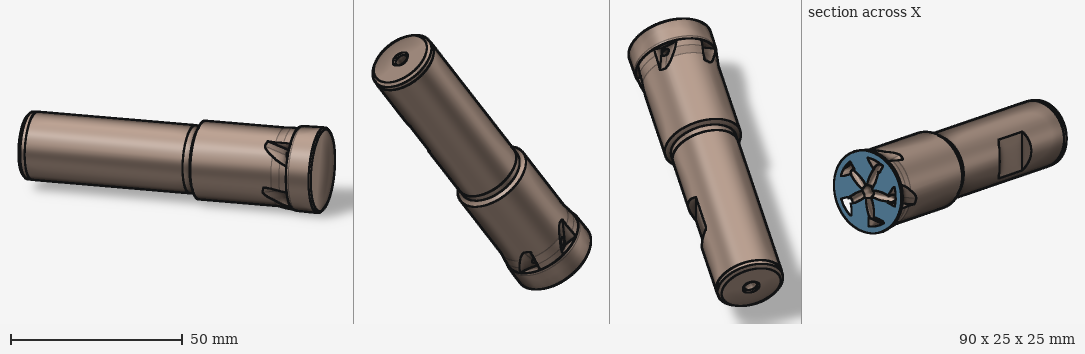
import cadquery as cq
import math


total_length = 90.0
shank_radius = 10.0
relief_radius = 9.9
shank_face_radius = 8.9
shank_chamfer = 0.9
shank_start = 2.25
shank_end = 50.3

body_radius = 11.5
shoulder_start = 52.4
shoulder_end = 53.2
flare_start = 77.7
flare_mid = 80.3
flare_mid_radius = 12.0
flare_end_radius = 12.15

head_start = 82.4
head_back_radius = 12.2
head_back_chamfer = 0.8
head_rim_radius = 12.4
head_radius = 12.5
head_front_chamfer = 0.5

flat_center = 25.6
flat_length = 11.3
flat_height = 8.1

bore_radius = 2.0
bore_countersink_radius = 2.5
bore_end = 84.6
drill_point_angle = 118.0

pocket_count = 5
pocket_wall_angle = 51.5
pocket_run = 12.6
pocket_slope = 25.5
pocket_skew = 5.0
pocket_floor = 7.8
pocket_ledge_height = 8.1
pocket_ledge_width = 1.9
pocket_floor_radius = 8.2
pocket_floor_start_tilt = 5.0
pocket_floor_sweep = 60.0
pocket_undercut = 2.7
pocket_top = 19.8

outlet_radius = 1.2
outlet_exit = 81.6
outlet_angle = 42.0
outlet_reach = 10.35


def make_body():
    """Revolve the stepped outline around the X axis."""
    head_arc_start = head_start + head_back_chamfer
    head_arc_end = total_length - head_front_chamfer
    head_arc_middle = (
        (head_arc_start + head_arc_end) / 2,
        head_radius - (head_radius - head_rim_radius) / 4,
    )
    return (
        cq.Workplane("XY")
        .moveTo(0, 0)
        .lineTo(0, shank_face_radius)
        .lineTo(shank_chamfer, relief_radius)
        .lineTo(shank_start, relief_radius)
        .lineTo(shank_start, shank_radius)
        .lineTo(shank_end, shank_radius)
        .lineTo(shank_end, relief_radius)
        .lineTo(shoulder_start, relief_radius)
        .lineTo(shoulder_end, body_radius)
        .lineTo(flare_start, body_radius)
        .lineTo(flare_mid, flare_mid_radius)
        .lineTo(head_start, flare_end_radius)
        .lineTo(head_start, head_back_radius)
        .lineTo(head_arc_start, head_rim_radius)
        .threePointArc(head_arc_middle, (head_arc_end, head_radius))
        .lineTo(total_length, head_radius - head_front_chamfer)
        .lineTo(total_length, 0)
        .close()
        .revolve(360, (0, 0, 0), (1, 0, 0))
    )


def make_clamping_flat():
    """Notch with 45 degree ends, cut straight across the shank."""
    depth = body_radius - flat_height
    half = flat_length / 2
    return (
        cq.Workplane("XY")
        .moveTo(flat_center - half, flat_height)
        .lineTo(flat_center + half, flat_height)
        .lineTo(flat_center + half + depth, body_radius)
        .lineTo(flat_center - half - depth, body_radius)
        .close()
        .extrude(body_radius, both=True)
    )


def make_bore():
    """Countersunk bore along the axis with a drilled conical bottom."""
    countersink_depth = bore_countersink_radius - bore_radius
    point_length = bore_radius / math.tan(math.radians(drill_point_angle / 2))
    return (
        cq.Workplane("XY")
        .moveTo(0, 0)
        .lineTo(0, bore_countersink_radius)
        .lineTo(countersink_depth, bore_radius)
        .lineTo(bore_end, bore_radius)
        .lineTo(bore_end + point_length, 0)
        .close()
        .revolve(360, (0, 0, 0), (1, 0, 0))
    )


def arc_point(center, radius, degrees):
    angle = math.radians(degrees)
    return (center[0] + radius * math.cos(angle), center[1] + radius * math.sin(angle))


def turn_from_minus_y(shape, angle):
    """Turn a shape built on +Z to the given angle, measured from -Y toward +Z."""
    return shape.rotate((0, 0, 0), (1, 0, 0), 90 - angle)


def make_pocket(wall_angle):
    """Wall, narrow ledge and hollow floor, cut obliquely backward from the head.

    The end wall slopes under the head rim.
    Built with the wall in the XZ plane and the pocket on the -Y side of it.
    """
    floor_start = 270 + pocket_floor_start_tilt
    ledge_end = (pocket_ledge_width, pocket_floor)
    floor_center = arc_point(ledge_end, pocket_floor_radius, floor_start - 180)
    floor_middle = arc_point(floor_center, pocket_floor_radius, floor_start + pocket_floor_sweep / 2)
    floor_end = arc_point(floor_center, pocket_floor_radius, floor_start + pocket_floor_sweep)
    section_plane = cq.Plane(origin=(head_start, 0, 0), xDir=(0, -1, 0), normal=(-1, 0, 0))
    section = (
        cq.Workplane(section_plane)
        .moveTo(0, pocket_top)
        .lineTo(0, pocket_ledge_height)
        .lineTo(*ledge_end)
        .threePointArc(floor_middle, floor_end)
        .lineTo(floor_end[0], pocket_top)
        .close()
    )
    direction = cq.Vector(
        -1,
        math.tan(math.radians(pocket_skew)),
        math.tan(math.radians(pocket_slope)),
    )
    front_section = section.wires().val().translate(direction * -pocket_undercut)
    cutter = cq.Solid.extrudeLinear(front_section, [], direction * pocket_run)
    pocket_sink = pocket_undercut * math.tan(math.radians(pocket_slope))
    end_limit = (
        cq.Workplane("XY")
        .moveTo(0, 0)
        .lineTo(0, pocket_top)
        .lineTo(head_start, pocket_top)
        .lineTo(head_start, flare_end_radius)
        .lineTo(head_start + pocket_undercut, pocket_floor - pocket_sink)
        .lineTo(head_start + pocket_undercut, 0)
        .close()
        .revolve(360, (0, 0, 0), (1, 0, 0))
    )
    return turn_from_minus_y(end_limit.intersect(cq.Workplane(cutter)), wall_angle)


def make_outlet(angle):
    """Drilled passage from the bore bottom out to a pocket floor."""
    start = cq.Vector(bore_end, 0, 0)
    end = cq.Vector(outlet_exit, 0, outlet_reach)
    passage = cq.Solid.makeCylinder(outlet_radius, (end - start).Length, start, end - start)
    return turn_from_minus_y(cq.Workplane(passage), angle)


result = make_body().cut(make_clamping_flat()).cut(make_bore())
for index in range(pocket_count):
    turn = index * 360 / pocket_count
    result = result.cut(make_pocket(pocket_wall_angle + turn))
    result = result.cut(make_outlet(outlet_angle + turn))